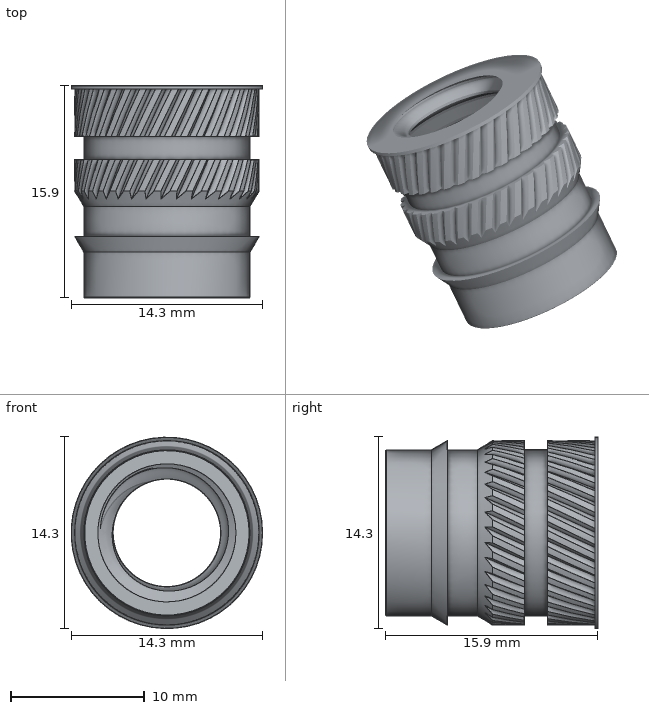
import cadquery as cq
import math


length = 15.88
flange_thickness = 0.25
neck_start = 3.8
neck_end = 5.53
cone_start = 7.9
cone_end = 9.02
barb_start = 11.27
barb_end = 12.45

flange_diameter = 14.3
flange_radius = flange_diameter / 2
knurl_radius = 6.89
body_radius = 6.21
neck_radius = 6.22
mouth_edge_chamfer = 0.06

groove_count = 36
groove_width = 0.65
groove_depth = 0.35
groove_lean = 0.055
knurl_angle = 26.0
knurl_clearance = 0.16

thread_pitch = 1.51
minor_radius = 4.02
major_radius = 4.99
root_flat = thread_pitch / 8
flank_half_angle = math.radians(30)
thread_overlap = 0.08
first_root_depth = 1.18
first_root_angle = 270.0
countersink_radius = 5.16
countersink_depth = 1.0

joint_radius = 5.72
joint_tolerance = 2.52e-05


def polar(radius, angle):
    return (radius * math.cos(angle), radius * math.sin(angle))


def turned_sleeve():
    """Turned outside of the insert, before knurling, around a plain hole."""
    outline = [
        (joint_radius, 0),
        (flange_radius, 0),
        (flange_radius, flange_thickness),
        (knurl_radius, flange_thickness),
        (knurl_radius, neck_start),
        (neck_radius, neck_start),
        (neck_radius, neck_end),
        (knurl_radius, neck_end),
        (knurl_radius, cone_start),
        (body_radius, cone_end),
        (body_radius, barb_start),
        (knurl_radius, barb_start),
        (body_radius, barb_end),
        (body_radius, length - mouth_edge_chamfer),
        (body_radius - mouth_edge_chamfer, length),
        (joint_radius, length),
    ]
    return cq.Workplane("XZ").polyline(outline).close().revolve(360, (0, 0), (0, 1))


def knurl_cutter():
    """Ring around the knurled bands whose inner side carries the twisted teeth."""
    root_radius = knurl_radius - groove_depth
    crest_radius = knurl_radius + knurl_clearance
    half_width = groove_width / 2
    reach = (groove_depth + knurl_clearance) / groove_depth
    lean_angle = groove_lean / root_radius
    wall_before = lean_angle - reach * (half_width / knurl_radius + lean_angle)
    wall_after = lean_angle + reach * (half_width / knurl_radius - lean_angle)

    points = []
    for index in range(groove_count):
        center = 2 * math.pi * index / groove_count
        points.append(polar(crest_radius, center + wall_before))
        points.append(polar(root_radius, center + lean_angle))
        points.append(polar(crest_radius, center + wall_after))

    height = cone_end - flange_thickness
    twist = math.degrees(height * math.tan(math.radians(knurl_angle)) / knurl_radius)
    base = cq.Workplane("XY").workplane(offset=flange_thickness)
    toothed_bar = base.polyline(points).close().twistExtrude(height, twist)
    return base.circle(flange_radius + knurl_clearance).extrude(height).cut(toothed_bar)


def countersink():
    """Cone that opens the mouth and ends in a point inside the bore."""
    slope = (countersink_radius - minor_radius) / countersink_depth
    tip = length - countersink_radius / slope
    outline = [(0, tip), (countersink_radius, length), (0, length)]
    return cq.Workplane("XZ").polyline(outline).close().revolve(360, (0, 0), (0, 1))


def thread_groove():
    """Right-hand helical groove, running out past both ends of the bore."""
    inner_radius = minor_radius - thread_overlap
    root_half = root_flat / 2
    mouth_half = root_half + (major_radius - inner_radius) * math.tan(flank_half_angle)
    height = length + 2 * thread_pitch
    path = cq.Wire.makeHelix(thread_pitch, height, minor_radius)
    profile = [
        (inner_radius, -mouth_half),
        (major_radius, -root_half),
        (major_radius, root_half),
        (inner_radius, mouth_half),
    ]
    groove = cq.Workplane("XZ").polyline(profile).close().sweep(cq.Workplane(path), isFrenet=True)
    start = -thread_pitch
    root_turns = (length - first_root_depth - start) / thread_pitch
    phase = first_root_angle - 360 * root_turns
    return groove.translate((0, 0, start)).rotate((0, 0, 0), (0, 0, 1), phase)


def threaded_liner():
    """Inner tube with the thread and the countersink."""
    overrun = 2 * thread_pitch
    core = cq.Workplane("XY").workplane(offset=-overrun).circle(minor_radius).extrude(length + 2 * overrun)
    cutter = core.union(thread_groove())
    return cq.Workplane("XY").circle(joint_radius).extrude(length).cut(cutter).cut(countersink())


def joined(sleeve, liner):
    """One solid from both parts, leaving out the cylinder where they touch.

    Sewing the faces is much quicker than fusing, since knurl and thread never meet.
    """
    joint_area = 2 * math.pi * joint_radius * length

    def is_joint(face):
        return face.geomType() == "CYLINDER" and abs(face.Area() - joint_area) < joint_tolerance

    skin = [face for face in sleeve.faces().vals() + liner.faces().vals() if not is_joint(face)]
    return cq.Workplane(cq.Solid.makeSolid(cq.Shell.makeShell(skin)))


insert = joined(turned_sleeve().cut(knurl_cutter()), threaded_liner())
result = insert.clean().rotate((0, 0, 0), (1, 0, 0), 90)